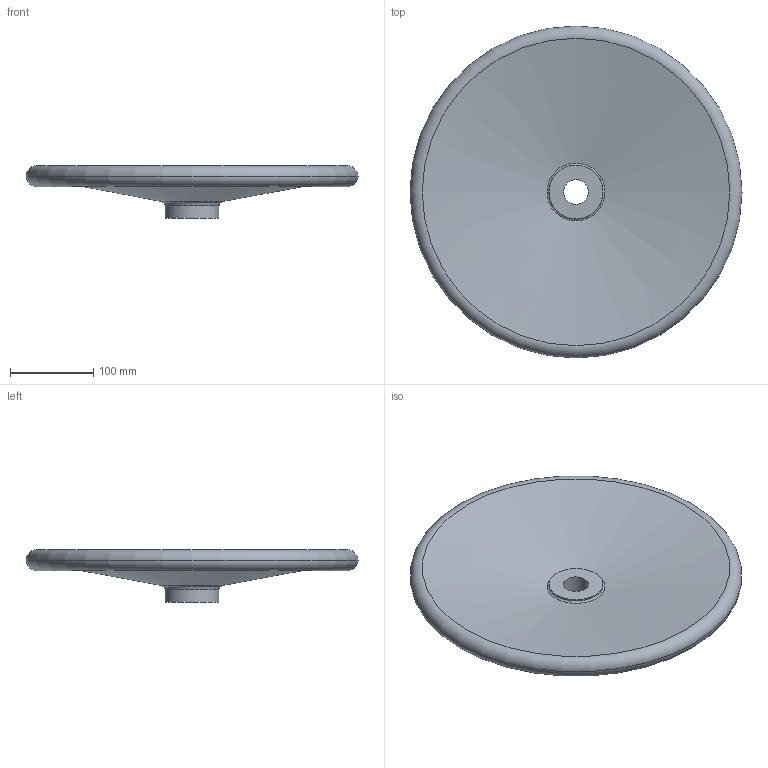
import cadquery as cq
import math

outer_diameter = 400.0
rim_section_radius = 12.5

overall_height = 63.0
hub_diameter = 65.0
bore_diameter = 30.0
hub_height = 38.5

web_angle = 10.5
web_thickness = 15.0
upper_fillet_radius = 2.0
lower_fillet_radius = 5.0

hub_radius = hub_diameter / 2
rim_center_radius = outer_diameter / 2 - rim_section_radius
rim_center_z = overall_height - rim_section_radius
slope = math.tan(math.radians(web_angle))

tangent_radius = rim_center_radius - rim_section_radius * math.sin(math.radians(web_angle))
tangent_z = rim_center_z + rim_section_radius * math.cos(math.radians(web_angle))
web_vertical_thickness = web_thickness / math.cos(math.radians(web_angle))


def upper_cone_z(radius):
    """Height of the web's upper surface at a given radius."""
    return tangent_z - (tangent_radius - radius) * slope


def lower_cone_z(radius):
    """Height of the web's lower surface at a given radius."""
    return upper_cone_z(radius) - web_vertical_thickness


def make_hub_and_web():
    """Revolve the hub and web, then round the corners where they meet."""
    profile = (
        cq.Workplane("XZ")
        .lineTo(hub_radius, 0)
        .lineTo(hub_radius, lower_cone_z(hub_radius))
        .lineTo(tangent_radius, lower_cone_z(tangent_radius))
        .lineTo(tangent_radius, tangent_z)
        .lineTo(hub_radius, upper_cone_z(hub_radius))
        .lineTo(hub_radius, hub_height)
        .lineTo(0, hub_height)
        .close()
    )
    body = profile.revolve(360, (0, 0, 0), (0, 1, 0))
    selection_margin = 1.0
    corners = (
        (upper_cone_z(hub_radius), upper_fillet_radius),
        (lower_cone_z(hub_radius), lower_fillet_radius),
    )
    for corner_z, fillet_radius in corners:
        corner = cq.selectors.BoxSelector(
            (-outer_diameter, -outer_diameter, corner_z - selection_margin),
            (outer_diameter, outer_diameter, corner_z + selection_margin),
        )
        body = body.edges("%CIRCLE").edges(corner).fillet(fillet_radius)
    return body


def make_rim():
    """Round ring around the outside of the wheel."""
    section = cq.Workplane("XZ").center(rim_center_radius, rim_center_z).circle(rim_section_radius)
    return section.revolve(360, (-rim_center_radius, 0, 0), (-rim_center_radius, 1, 0))


def make_bore():
    """Shaft hole through the full hub height."""
    return cq.Workplane("XY").circle(bore_diameter / 2).extrude(hub_height)


result = make_hub_and_web().union(make_rim()).cut(make_bore())